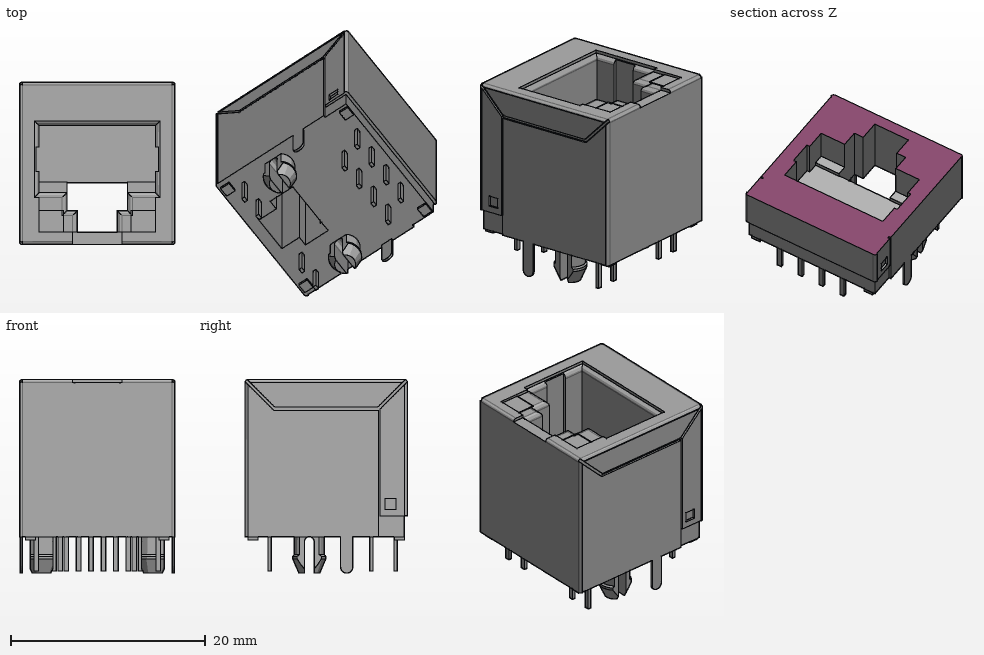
import cadquery as cq


width = 16.0
depth = 16.7
overall_height = 19.9
leg_length = 3.75
height = overall_height - leg_length
half_width = width / 2
shield_thickness = 0.24
bend_radius = 0.32
side_recess = bend_radius - shield_thickness
panel_face = half_width - side_recess
plastic_side = panel_face - shield_thickness
plastic_top = height - bend_radius

flap_drop = 2.85
flap_top_inset = 0.22
panel_gap = 0.34
corner_gap = 0.22
panel_back = 13.73
back_flap_front = 13.87
back_flap_bottom = 2.15
window_size = 1.11
window_y = 14.95
window_z = 3.36

lead_in = 0.5
cavity_half = 5.97
cavity_back = 12.22
shoulder_y = 5.33
key_half = 3.1
key_step_y = 3.48
latch_half = 2.03
front_wall = 1.27
floor_z = 2.39
floor_front = 6.35
ledge_z = 2.79
ledge_back = 6.4
side_groove_half = 6.3
side_groove_width = 2.49
side_groove_y = 8.75
liner_half = 7.16
liner_back = 13.53

light_inner = 3.46
light_height = 0.08

foot_height = 0.34
foot_size = 1.05
foot_x = 6.87
foot_front_y = 0.84
foot_back_y = 15.86
tab_width = 1.27
tab_y = 10.45
peg_x = 5.73
peg_y = 6.6
peg_radius = 1.55
peg_half_flat = 1.17
barb_radius = 1.71
barb_tip_radius = 1.07
barb_start = 1.83
barb_full = 2.0
barb_end = 2.27
peg_slot = 0.98
pin_width = 0.5
pin_thickness = 0.35
pin_length = 3.52
contact_pitch = 1.27
contact_count = 8
contact_rows = (12.97, 15.48)
light_pin_xs = (3.8, 6.27)
light_pin_y = 2.53


def slab(x0, x1, y0, y1, z0, z1):
    """Box between two opposite corners."""
    return cq.Workplane("XY").box(x1 - x0, y1 - y0, z1 - z0, centered=False).translate((x0, y0, z0))


def both_sides(body):
    """A body on the +X side together with its mirror image."""
    return body.union(body.mirror("YZ"))


def plug_cavity():
    """Stepped cavity outline, open to the front wall, over the full liner height."""
    right = [
        (latch_half, front_wall),
        (latch_half, key_step_y),
        (key_half, key_step_y),
        (key_half, shoulder_y),
        (cavity_half, shoulder_y),
        (cavity_half, cavity_back),
    ]
    left = [(-x, y) for x, y in reversed(right)]
    return cq.Workplane("XY").polyline(right + left).close().extrude(plastic_top)


def side_plate(points):
    """Plate from the plastic to the outermost bend on the +X side, from a (Y, Z) outline."""
    plane = cq.Workplane("YZ", origin=(plastic_side, 0, 0))
    return plane.polyline(points).close().extrude(half_width - plastic_side)


def side_gaps():
    """Everything in the +X shield layer that is not covered by a panel."""
    flap_bottom = height - flap_drop
    panel_top = flap_bottom - panel_gap
    corner_top = height - corner_gap
    flap_front = flap_top_inset + flap_drop
    panel_front = corner_top - panel_top
    top_flap = side_plate([
        (flap_top_inset, height),
        (flap_front, flap_bottom),
        (depth - flap_front, flap_bottom),
        (depth - flap_top_inset, height),
    ])
    main_panel = side_plate([
        (0, 0),
        (0, corner_top),
        (panel_front, panel_top),
        (panel_back, panel_top),
        (panel_back, 0),
    ])
    back_flap = side_plate([
        (depth, back_flap_bottom),
        (depth, corner_top),
        (back_flap_front, corner_top - (depth - back_flap_front)),
        (back_flap_front, back_flap_bottom),
    ])
    half_window = window_size / 2
    window = slab(0, half_width, window_y - half_window, window_y + half_window,
                  window_z - half_window, window_z + half_window)
    layer = slab(plastic_side, half_width, 0, depth, 0, height)
    return layer.cut(top_flap).cut(main_panel).cut(back_flap.cut(window))


def shielded_block():
    block = slab(-half_width, half_width, 0, depth, 0, height)
    block = block.edges("|Z or >Z").fillet(bend_radius)
    recess = slab(panel_face, half_width, bend_radius, depth - bend_radius, 0, plastic_top)
    block = block.cut(both_sides(recess)).cut(both_sides(side_gaps()))
    return block.cut(slab(-half_width, half_width, depth - bend_radius, depth, 0, back_flap_bottom))


def liner():
    """Plastic around the cavity, with a rounded lead-in on its top edges."""
    body = slab(-liner_half, liner_half, front_wall, liner_back, 0, plastic_top)
    body = body.cut(plug_cavity())
    margin = lead_in / 2
    rim = cq.selectors.BoxSelector(
        (-cavity_half - margin, front_wall + margin, plastic_top - margin),
        (cavity_half + margin, cavity_back + margin, plastic_top + margin),
    )
    body = body.edges(rim).fillet(lead_in)
    groove = slab(-side_groove_half, side_groove_half, side_groove_y - side_groove_width / 2,
                  side_groove_y + side_groove_width / 2, floor_z, plastic_top)
    body = body.cut(groove)
    body = body.union(slab(-liner_half, liner_half, floor_front, liner_back, 0, floor_z))
    ledge = slab(key_half, cavity_half, shoulder_y, ledge_back, 0, ledge_z)
    light = slab(light_inner, cavity_half, front_wall, key_step_y, plastic_top, plastic_top + light_height)
    return body.union(both_sides(ledge)).union(both_sides(light))


def opened_block():
    block = shielded_block()
    block = block.cut(slab(-liner_half, liner_half, front_wall, liner_back, 0, plastic_top))
    wide_front = shoulder_y - lead_in
    wide_half = cavity_half + lead_in
    latch_notch = latch_half + lead_in
    block = block.cut(slab(-wide_half, wide_half, wide_front, cavity_back + lead_in, plastic_top, height))
    block = block.cut(slab(-cavity_half, cavity_half, front_wall, wide_front, plastic_top, height))
    block = block.cut(slab(-latch_notch, latch_notch, 0, front_wall, plastic_top, height))
    return block.union(liner())


def post(x, y, size_x, size_y, length):
    """Rectangular post hanging from the seating plane."""
    return slab(x - size_x / 2, x + size_x / 2, y - size_y / 2, y + size_y / 2, -length, 0)


def peg():
    """Split snap peg with a barbed end and flats facing +X and -X."""
    profile = [
        (0, 0),
        (peg_radius, 0),
        (peg_radius, -barb_start),
        (barb_radius, -barb_full),
        (barb_radius, -barb_end),
        (barb_tip_radius, -leg_length),
        (0, -leg_length),
    ]
    body = cq.Workplane("XZ").polyline(profile).close().revolve(360, (0, 0, 0), (0, 1, 0))
    flats = slab(-peg_half_flat, peg_half_flat, -barb_radius, barb_radius, -leg_length, 0)
    slot_radius = peg_slot / 2
    slot = (
        cq.Workplane("YZ", origin=(-peg_radius, 0, 0))
        .moveTo(-slot_radius, -leg_length)
        .lineTo(-slot_radius, -slot_radius)
        .threePointArc((0, 0), (slot_radius, -slot_radius))
        .lineTo(slot_radius, -leg_length)
        .close()
        .extrude(2 * peg_radius)
    )
    return body.intersect(flats).cut(slot).translate((peg_x, peg_y, 0))


def ground_tab():
    """Round-ended tab continuing the side panel downwards."""
    radius = tab_width / 2
    return (
        cq.Workplane("YZ", origin=(plastic_side, tab_y, 0))
        .moveTo(-radius, 0)
        .lineTo(-radius, radius - leg_length)
        .threePointArc((0, -leg_length), (radius, radius - leg_length))
        .lineTo(radius, 0)
        .close()
        .extrude(shield_thickness)
    )


result = opened_block()
for y in (foot_front_y, foot_back_y):
    result = result.union(both_sides(post(foot_x, y, foot_size, foot_size, foot_height)))
for x in light_pin_xs:
    result = result.union(both_sides(post(x, light_pin_y, pin_width, pin_thickness, pin_length)))
for i in range(contact_count):
    x = (i - (contact_count - 1) / 2) * contact_pitch
    y = contact_rows[i % len(contact_rows)]
    result = result.union(post(x, y, pin_width, pin_thickness, pin_length))
result = result.union(both_sides(peg())).union(both_sides(ground_tab()))